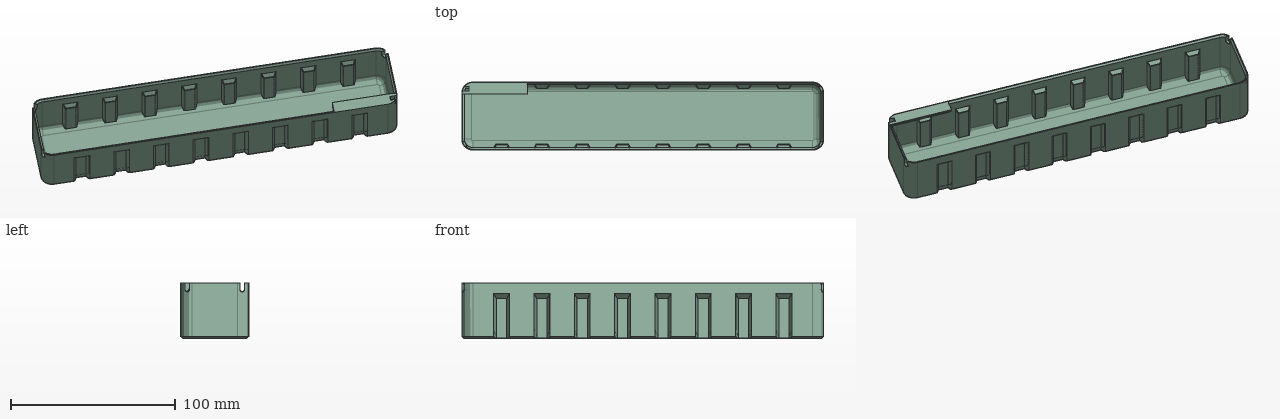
import cadquery as cq
import math

length = 219.5
width = 41.3
height = 33.8
corner_radius = 6.8
bottom_chamfer = 1.3

wall = 1.5
floor_fillet = 4.2
rim_chamfer = 1.0

groove_count = 8
groove_span = 171.2
groove_opening = 9.7
groove_depth = 3.0
groove_wall = 0.7
groove_top = 27.2
groove_side_run = 1.8

tab_length = 39.7
tab_depth = 7.2
tab_lip = 1.0
tab_slope_height = 7.5

slot_width = 2.6
slot_depth = 5.5
slot_inset = 4.0
slot_run = 4.4

half_length = length / 2
half_width = width / 2
groove_pitch = groove_span / (groove_count - 1)
groove_xs = [i * groove_pitch - groove_span / 2 for i in range(groove_count)]

side_angle = math.atan2(groove_depth, groove_side_run)
top_angle = math.radians(45)
rib_depth = groove_depth + groove_wall
rib_side_run = rib_depth / math.tan(side_angle)
rib_tip = groove_opening - 2 * groove_side_run + 2 * groove_wall * math.tan(side_angle / 2)
rib_opening = rib_tip + 2 * rib_side_run
rib_top = groove_top - groove_depth + groove_wall * math.tan(top_angle / 2) + rib_depth


def rounded_box(size_x, size_y, size_z, radius):
    """Box standing on Z = 0 with rounded vertical edges."""
    box = cq.Workplane("XY").box(size_x, size_y, size_z, centered=(True, True, False))
    return box.edges("|Z").fillet(radius)


def make_outer():
    body = rounded_box(length, width, height, corner_radius)
    return body.faces("<Z").edges().chamfer(bottom_chamfer)


def make_cavity():
    """Open-topped hollow with a rounded floor edge."""
    hollow = rounded_box(length - 2 * wall, width - 2 * wall, height, corner_radius - wall)
    hollow = hollow.faces("<Z").edges().fillet(floor_fillet).translate((0, 0, wall))
    lip = wall - rim_chamfer
    rim = rounded_box(length - 2 * lip, width - 2 * lip, 2 * rim_chamfer, corner_radius - lip)
    rim = rim.faces("<Z").edges().chamfer(rim_chamfer)
    return hollow.union(rim.translate((0, 0, height - rim_chamfer)))


def tapered_block(x, opening, side_run, depth, top, edge_radius=0):
    """Block reaching in from the front face, narrowing at its sides and sloping 45 degrees at its top."""
    half_opening = opening / 2
    half_tip = half_opening - side_run
    tip_y = depth - half_width
    plan = (
        cq.Workplane("XY")
        .moveTo(x - half_opening, -half_width)
        .lineTo(x + half_opening, -half_width)
        .lineTo(x + half_tip, tip_y)
        .lineTo(x - half_tip, tip_y)
        .close()
        .extrude(top)
    )
    if edge_radius > 0:
        plan = plan.edges("|Z and >Y").fillet(edge_radius)
    profile = (
        cq.Workplane("YZ")
        .moveTo(-half_width, 0)
        .lineTo(-half_width, top)
        .lineTo(tip_y, top - depth)
        .lineTo(tip_y, 0)
        .close()
        .extrude(half_length, both=True)
    )
    return plan.intersect(profile)


def make_groove(x):
    return tapered_block(x, groove_opening, groove_side_run, groove_depth, groove_top)


def make_rib(x):
    return tapered_block(x, rib_opening, rib_side_run, rib_depth, rib_top, groove_wall)


def make_tab():
    """Label tab with a sloped underside that runs back into the wall."""
    back = half_width
    front = half_width - tab_depth
    wedge_foot = height - tab_lip - tab_slope_height
    return (
        cq.Workplane("YZ", origin=(-half_length, 0, 0))
        .moveTo(back, height)
        .lineTo(front, height)
        .lineTo(front, height - tab_lip)
        .lineTo(back - wall, wedge_foot)
        .lineTo(back, wedge_foot)
        .close()
        .extrude(tab_length)
    )


def make_slot(x_side, y_side):
    """Round-bottomed slot entering from one end of the body."""
    radius = slot_width / 2
    y = y_side * (half_width - slot_inset)
    arc_z = height - slot_depth + radius
    return (
        cq.Workplane("YZ", origin=(x_side * half_length, 0, 0))
        .moveTo(y - radius, height)
        .lineTo(y - radius, arc_z)
        .threePointArc((y, height - slot_depth), (y + radius, arc_z))
        .lineTo(y + radius, height)
        .close()
        .extrude(-x_side * slot_run)
    )


outer = make_outer()
cavity = make_cavity()
for x in groove_xs:
    rib = make_rib(x)
    cavity = cavity.cut(rib).cut(rib.mirror("XZ"))

cavity = cavity.cut(make_tab())
result = outer.cut(cavity)

for x in groove_xs:
    groove = make_groove(x)
    result = result.cut(groove).cut(groove.mirror("XZ"))

for x_side in (-1, 1):
    for y_side in (-1, 1):
        result = result.cut(make_slot(x_side, y_side))